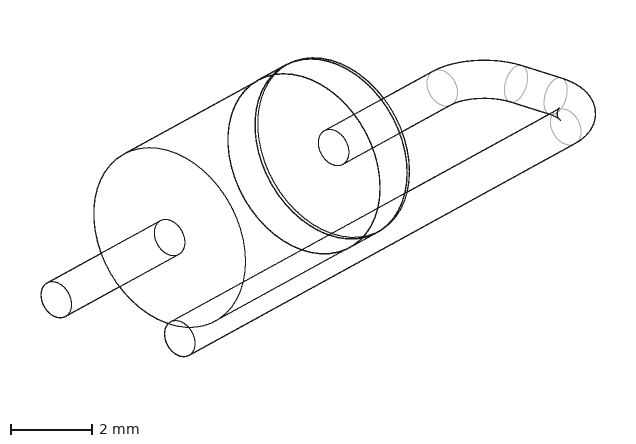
import cadquery as cq

body_diameter = 4.68
body_length = 6.68
body_start = 4.61
band_diameter = 4.7
band_length = 1.1
band_inset = 0.1
lead_diameter = 0.95
lead_pitch = 3.81
total_length = 17.48
bend_radius = 1.3

crown_y = total_length - lead_diameter / 2
body_end = body_start + body_length
band_start = body_end - band_inset - band_length
bend_start_y = crown_y - bend_radius


def make_cylinder(diameter, start, length):
    """Cylinder on the body axis, running along +Y from start."""
    plane = cq.Workplane("XZ", origin=(0, start, 0))
    return plane.circle(diameter / 2).extrude(-length)


def make_lead():
    """Round wire through the body, folded back beside it."""
    centreline = (
        cq.Workplane("XY")
        .lineTo(0, bend_start_y)
        .radiusArc((bend_radius, crown_y), bend_radius)
        .lineTo(lead_pitch - bend_radius, crown_y)
        .radiusArc((lead_pitch, bend_start_y), bend_radius)
        .lineTo(lead_pitch, 0)
    )
    return cq.Workplane("XZ").circle(lead_diameter / 2).sweep(centreline)


body = make_cylinder(body_diameter, body_start, body_length)
band = make_cylinder(band_diameter, band_start, band_length)
result = body.union(band).union(make_lead())